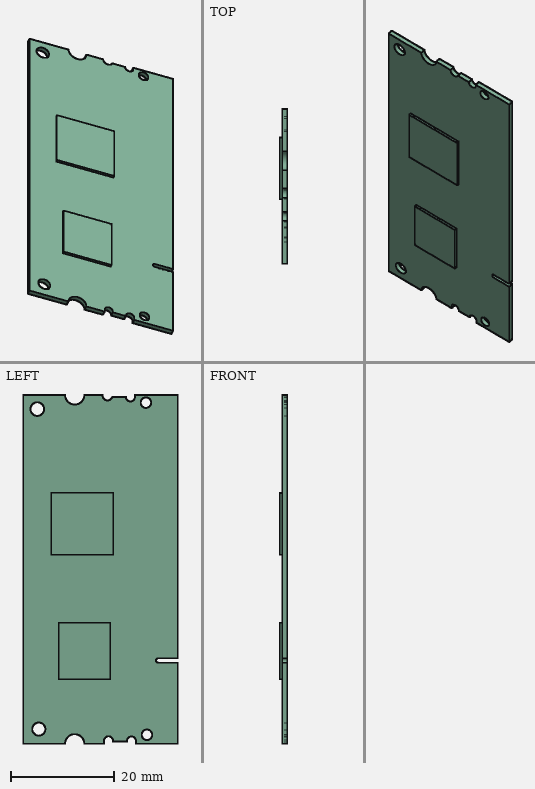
import cadquery as cq

board_thickness = 1.0
board_width = 30.0
board_height = 67.6

chip_thickness = 0.5
chips = [
    (5.5, 19.0, 12.0, 12.0),
    (6.9, 44.1, 10.0, 11.0),
]

top_holes = [(2.75, 2.75, 2.6), (23.8, 1.5, 2.0)]
bottom_holes = [(3.05, 2.85, 2.5), (24.0, 1.75, 2.0)]

large_notch_offset = 10.0
large_notch_radius = 1.85

ledge_depth = 0.4
top_small_notches = [(16.35, 0.1, 0.95), (20.8, 0.4, 0.85)]
bottom_small_notches = [(16.55, 0.6, 0.85), (21.0, 0.55, 0.85)]

slot_length = 4.25
slot_width = 0.8
slot_height = 16.15


def box(y_min, y_max, z_min, z_max, x_min=0.0, x_max=board_thickness):
    """Block given by its limits, through the board unless x limits are given."""
    block = cq.Workplane("XY").box(x_max - x_min, y_max - y_min, z_max - z_min, centered=False)
    return block.translate((x_min, y_min, z_min))


def cylinder(y, z, radius):
    """Round cutter along X, through the board."""
    return cq.Workplane("YZ").center(y, z).circle(radius).extrude(board_thickness)


def from_left(offset):
    """Y position at a distance from the +Y edge."""
    return board_width - offset


def from_end(depth, at_top):
    """Z position at a distance inward from the top or bottom edge."""
    return board_height - depth if at_top else depth


def end_box(left, right, depth, at_top):
    """Rectangular cutter reaching inward from an end edge."""
    z_limits = sorted((from_end(0.0, at_top), from_end(depth, at_top)))
    return box(from_left(right), from_left(left), *z_limits)


def cut_end(body, holes, small_notches, at_top):
    """Cut the holes, the large notch and the stepped pair of small notches at one end."""
    for offset, depth, diameter in holes:
        body = body.cut(cylinder(from_left(offset), from_end(depth, at_top), diameter / 2))

    body = body.cut(cylinder(from_left(large_notch_offset), from_end(0.0, at_top), large_notch_radius))

    for offset, depth, radius in small_notches:
        body = body.cut(cylinder(from_left(offset), from_end(depth, at_top), radius))
        body = body.cut(end_box(offset - radius, offset + radius, depth, at_top))

    ledge_start = small_notches[0][0]
    ledge_end = small_notches[1][0]
    return body.cut(end_box(ledge_start, ledge_end, ledge_depth, at_top))


def cut_slot(body):
    """Cut the round-ended slot in the -Y edge."""
    half_width = slot_width / 2
    round_centre = slot_length - half_width
    body = body.cut(box(0.0, round_centre, slot_height - half_width, slot_height + half_width))
    return body.cut(cylinder(round_centre, slot_height, half_width))


def add_chips(body):
    """Stand each chip on the -X face."""
    for offset, depth, width, height in chips:
        y_max = from_left(offset)
        z_max = from_end(depth, at_top=True)
        body = body.union(box(y_max - width, y_max, z_max - height, z_max, -chip_thickness, 0.0))
    return body


board = box(0.0, board_width, 0.0, board_height)
board = cut_end(board, top_holes, top_small_notches, at_top=True)
board = cut_end(board, bottom_holes, bottom_small_notches, at_top=False)
board = cut_slot(board)
result = add_chips(board)